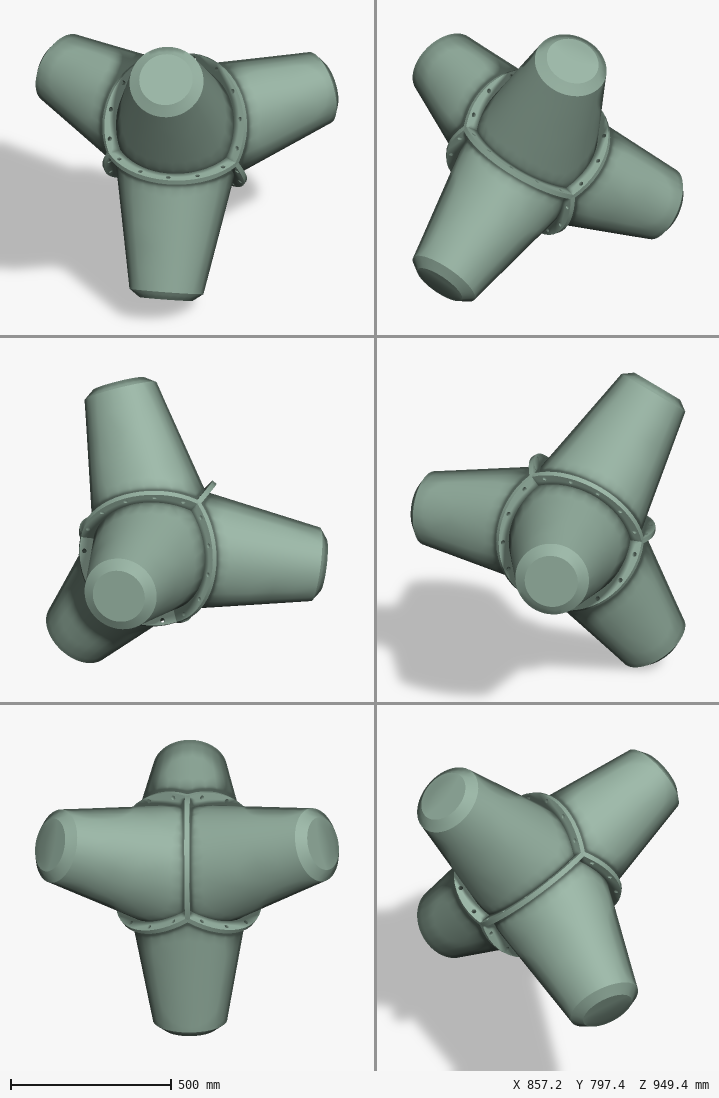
import cadquery as cq
import math


leg_length = 522.0
bevel_height = 24.0
bevel_radius = 116.0
tip_radius = 84.0
taper_angle = 10.4

flange_thickness = 8.0
flange_radius = 228.0
flange_offset = 36.0

bolt_count = 5
bolt_pitch = 25.0
bolt_circle_radius = 213.0
bolt_diameter = 14.0

neighbour_cos = -1 / 3
neighbour_sin = math.sqrt(1 - neighbour_cos**2)
sides = 3
side_angles = [index * 360 / sides for index in range(sides)]
cell_height = 1.1 * leg_length


def make_cell():
    """Three-sided pyramid, apex at the centre, that holds everything nearer to this leg than to others."""
    corner_radius = cell_height * neighbour_sin / -neighbour_cos
    apex = cq.Vector(0, 0, 0)
    corners = []
    for side_angle in side_angles:
        azimuth = math.radians(side_angle + 180)
        corners.append(
            cq.Vector(corner_radius * math.cos(azimuth), corner_radius * math.sin(azimuth), cell_height)
        )
    triangles = [corners]
    for index in range(sides):
        triangles.append([apex, corners[index - 1], corners[index]])
    faces = [cq.Face.makeFromWires(cq.Wire.makePolygon(points, close=True)) for points in triangles]
    return cq.Workplane(cq.Solid.makeSolid(cq.Shell.makeShell(faces)))


def make_trunk():
    """Tapered trunk with a bevelled tip, from the centre outwards."""
    bevel_start = leg_length - bevel_height
    base_radius = bevel_radius + bevel_start * math.tan(math.radians(taper_angle))
    profile = [
        (0, 0),
        (base_radius, 0),
        (bevel_radius, bevel_start),
        (tip_radius, leg_length),
        (0, leg_length),
    ]
    return cq.Workplane("XZ").polyline(profile).close().revolve(360, (0, 0), (0, 1))


def joint_plane(side_angle):
    """Joint plane with one neighbour: x points outward between both legs, the normal into this leg."""
    azimuth = math.radians(side_angle)
    axis = cq.Vector(0, 0, 1)
    neighbour = cq.Vector(
        neighbour_sin * math.cos(azimuth), neighbour_sin * math.sin(azimuth), neighbour_cos
    )
    return cq.Plane(origin=(0, 0, 0), xDir=axis + neighbour, normal=axis - neighbour)


def make_flange(side_angle):
    """Round flange plate lying on one joint plane."""
    return (
        cq.Workplane(joint_plane(side_angle))
        .center(flange_offset, 0)
        .circle(flange_radius)
        .extrude(flange_thickness)
    )


def make_bolt_holes(side_angle):
    """Row of bolt holes through one flange, centred on the middle of its rim."""
    first_angle = -bolt_pitch * (bolt_count - 1) / 2
    return (
        cq.Workplane(joint_plane(side_angle))
        .center(flange_offset, 0)
        .polarArray(bolt_circle_radius, first_angle, bolt_pitch, bolt_count, fill=False)
        .circle(bolt_diameter / 2)
        .extrude(flange_thickness)
    )


def make_leg():
    """One solid leg along +Z: the trunk with its three drilled flanges, trimmed at the joint planes."""
    leg = make_trunk()
    for side_angle in side_angles:
        leg = leg.union(make_flange(side_angle))
    leg = leg.intersect(make_cell())
    for side_angle in side_angles:
        leg = leg.cut(make_bolt_holes(side_angle))
    return leg.val()


def leg_directions():
    """One leg along +Y, the other three spread evenly around it."""
    directions = [cq.Vector(0, 1, 0)]
    for azimuth_degrees in (180, 60, -60):
        azimuth = math.radians(azimuth_degrees)
        directions.append(
            cq.Vector(neighbour_sin * math.cos(azimuth), neighbour_cos, neighbour_sin * math.sin(azimuth))
        )
    return directions


def place_leg(leg, direction, neighbour):
    """Turn a leg to its direction, with its first joint plane facing the given neighbour."""
    toward_neighbour = neighbour - direction * neighbour_cos
    return leg.moved(cq.Location(cq.Plane((0, 0, 0), xDir=toward_neighbour, normal=direction)))


leg = make_leg()
directions = leg_directions()
legs = [place_leg(leg, directions[index], directions[index - 1]) for index in range(len(directions))]

result = cq.Compound.makeCompound(legs)